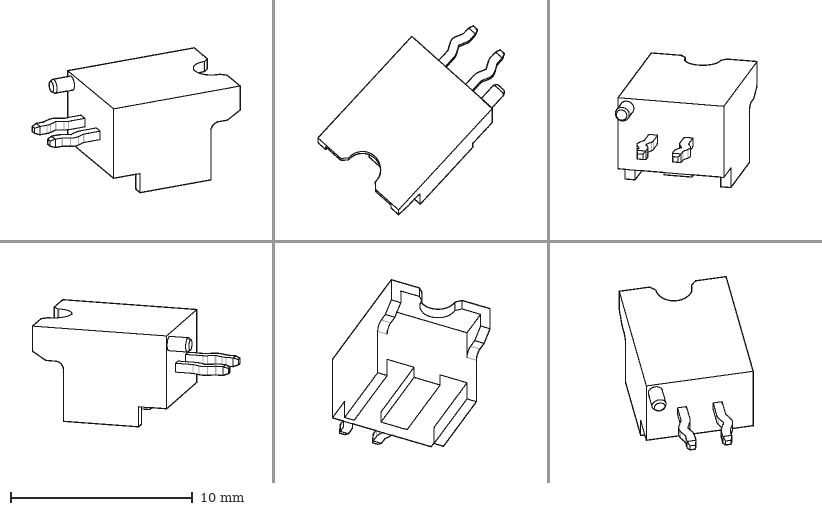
import cadquery as cq
import math


width = 6.0
length = 7.69
height = 5.3
leg_height = 1.15
leg_width = 0.58
leg_front = 1.6
block_width = 1.58
block_drop = 0.72

lip_overhang = 1.78
lip_thickness = 1.9
lip_plate_thickness = 0.61
lip_end_thickness = 1.43
lip_slope_length = 0.77
lip_fillet = 0.46
notch_radius = 1.0
notch_flare = 0.3
notch_depth = 1.35

peg_radius = 0.4
peg_length = 1.22
peg_from_side = 0.5
peg_from_top = 0.56
peg_bevel_length = 0.16
peg_bevel_inset = 0.1

pin_pitch = 2.0
pin_size = 0.5
pin_length = 3.01
pin_from_top = 2.25
kink_start = 1.0
kink_length = 1.32
kink_angle = 26.0
kink_inner_radius = 0.05
tip_length = 0.28
tip_inset = 0.1

body_bottom = leg_height
body_end = length - lip_overhang
lip_bottom = height - lip_thickness


def make_side_profile():
    """Side shape of the housing, legs and lip included, as one full-width block."""
    return (
        cq.Workplane("YZ", origin=(-width / 2, 0, 0))
        .moveTo(0, height)
        .lineTo(0, body_bottom)
        .lineTo(leg_front, body_bottom)
        .lineTo(leg_front, 0)
        .lineTo(body_end, 0)
        .lineTo(body_end, lip_bottom - lip_fillet)
        .radiusArc((body_end + lip_fillet, lip_bottom), lip_fillet)
        .lineTo(length - lip_slope_length, lip_bottom)
        .lineTo(length, height - lip_end_thickness)
        .lineTo(length, height)
        .close()
        .extrude(width)
    )


def make_channel():
    """Space between the two legs, open at both ends."""
    return cq.Workplane("XY").box(
        width - 2 * leg_width, length, body_bottom, centered=(True, False, False)
    )


def make_lip_recess():
    """Space under the lip's top plate, leaving the lip its two side walls in line with the legs."""
    bottom = lip_bottom - lip_fillet
    return cq.Workplane("XY", origin=(0, body_end, bottom)).box(
        width - 2 * leg_width,
        lip_overhang,
        height - lip_plate_thickness - bottom,
        centered=(True, False, False),
    )


def make_center_block():
    """Shallow block under the housing, midway between the legs."""
    return cq.Workplane("XY", origin=(0, leg_front, body_bottom - block_drop)).box(
        block_width, body_end - leg_front, block_drop, centered=(True, False, False)
    )


def make_notch():
    """Round notch through the top plate of the lip, with flared 45 degree corners at its mouth."""
    mouth = notch_radius + notch_flare
    round_end = length - notch_depth
    round_start = round_end + notch_radius
    return (
        cq.Workplane("XY", origin=(0, 0, height - lip_plate_thickness))
        .moveTo(-mouth, length)
        .lineTo(-notch_radius, length - notch_flare)
        .lineTo(-notch_radius, round_start)
        .threePointArc((0, round_end), (notch_radius, round_start))
        .lineTo(notch_radius, length - notch_flare)
        .lineTo(mouth, length)
        .close()
        .extrude(lip_plate_thickness)
    )


def make_peg():
    """Locating peg on the pin face, bevelled at its free end."""
    return (
        cq.Workplane("XY")
        .lineTo(peg_radius, 0)
        .lineTo(peg_radius, -(peg_length - peg_bevel_length))
        .lineTo(peg_radius - peg_bevel_inset, -peg_length)
        .lineTo(0, -peg_length)
        .close()
        .revolve(360, (0, 0, 0), (0, 1, 0))
        .translate((-width / 2 + peg_from_side, 0, height - peg_from_top))
    )


def make_housing():
    return (
        make_side_profile()
        .cut(make_channel())
        .cut(make_lip_recess())
        .cut(make_notch())
        .union(make_center_block())
        .union(make_peg())
    )


def make_pin_path(side):
    """Centre line of a pin up to its tip, kinked outwards by two end bends and one middle bend."""
    angle = math.radians(kink_angle)
    bend_radius = kink_inner_radius + pin_size / 2
    bend_along = bend_radius * math.sin(angle)
    bend_out = bend_radius * (1 - math.cos(angle))
    run_along = kink_length / 2 - 2 * bend_along
    run_out = run_along * math.tan(angle)
    kink_middle = kink_start + kink_length / 2
    kink_end = kink_start + kink_length
    near = side * bend_out
    far = side * (bend_out + run_out)
    return (
        cq.Workplane("XY")
        .lineTo(0, -kink_start)
        .tangentArcPoint((near, -(kink_start + bend_along)), relative=False)
        .lineTo(far, -(kink_middle - bend_along))
        .tangentArcPoint((far, -(kink_middle + bend_along)), relative=False)
        .lineTo(near, -(kink_end - bend_along))
        .tangentArcPoint((0, -kink_end), relative=False)
        .lineTo(0, -(pin_length - tip_length))
    )


def make_pin(side):
    """Square pin with a tapered tip; side is -1 for the left pin and 1 for the right."""
    shank = cq.Workplane("XZ").rect(pin_size, pin_size).sweep(make_pin_path(side))
    tip = (
        cq.Workplane("XZ", origin=(0, -(pin_length - tip_length), 0))
        .rect(pin_size, pin_size)
        .extrude(tip_length, taper=math.degrees(math.atan(tip_inset / tip_length)))
    )
    return shank.union(tip).translate((side * pin_pitch / 2, 0, height - pin_from_top))


housing = make_housing()
pins = [make_pin(side) for side in (-1, 1)]

result = cq.Compound.makeCompound([housing.val(), *[pin.val() for pin in pins]])